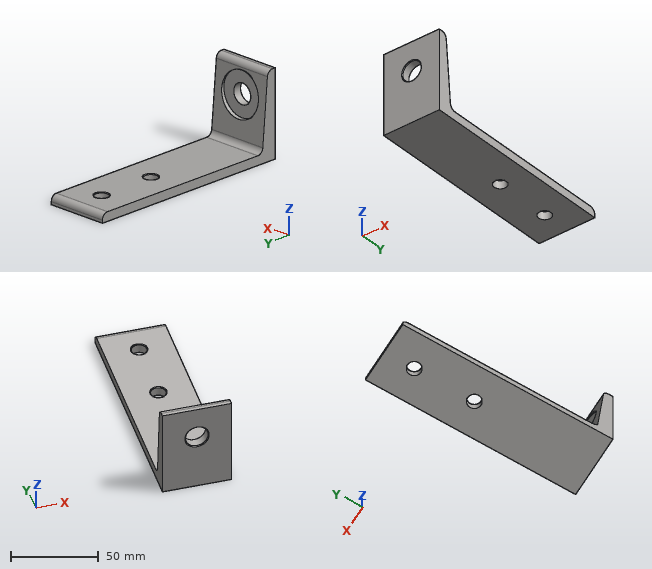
import cadquery as cq
import math

width = 41.0
length = 140.0
height = 56.0

base_thickness = 6.0
leg_tip_thickness = 6.0
leg_taper_angle = 5.0
edge_radius = 4.0

end_to_hole = 20.0
base_hole_spacing = 40.0
base_hole_diameter = 9.0
leg_hole_diameter = 13.5
hole_chamfer = 0.5

seat_diameter = 29.4
seat_distance = 6.0

leg_root_thickness = leg_tip_thickness + (height - base_thickness) * math.tan(math.radians(leg_taper_angle))


def bracket_body():
    """Extrude the L section, then round both toes and the inner corner."""
    body = (
        cq.Workplane("YZ")
        .moveTo(0, 0)
        .lineTo(length, 0)
        .lineTo(length, base_thickness)
        .lineTo(leg_root_thickness, base_thickness)
        .lineTo(leg_tip_thickness, height)
        .lineTo(0, height)
        .close()
        .extrude(width / 2, both=True)
    )
    rounded_corners = [
        (length, base_thickness),
        (leg_root_thickness, base_thickness),
        (leg_tip_thickness, height),
    ]
    for y, z in rounded_corners:
        corner_edge = cq.selectors.NearestToPointSelector((0, y, z))
        body = body.edges("|X").edges(corner_edge).fillet(edge_radius)
    return body


def chamfered_hole(diameter, depth):
    """Cutter along +Z from the origin, with a 45 degree chamfer at its start."""
    radius = diameter / 2
    bore = cq.Workplane("XY").circle(radius).extrude(depth)
    cone = cq.Solid.makeCone(radius + hole_chamfer, radius, hole_chamfer)
    return bore.union(cq.Workplane(cone))


result = bracket_body()

base_cutter = chamfered_hole(base_hole_diameter, base_thickness).rotate((0, 0, 0), (1, 0, 0), 180)
for index in range(2):
    hole_y = length - end_to_hole - index * base_hole_spacing
    result = result.cut(base_cutter.translate((0, hole_y, base_thickness)))

leg_hole_z = height - end_to_hole
leg_cutter = chamfered_hole(leg_hole_diameter, leg_root_thickness).rotate((0, 0, 0), (1, 0, 0), -90)
seat_cutter = (
    cq.Workplane("XZ", origin=(0, seat_distance, leg_hole_z))
    .circle(seat_diameter / 2)
    .extrude(-leg_root_thickness)
)
result = result.cut(leg_cutter.translate((0, 0, leg_hole_z))).cut(seat_cutter)